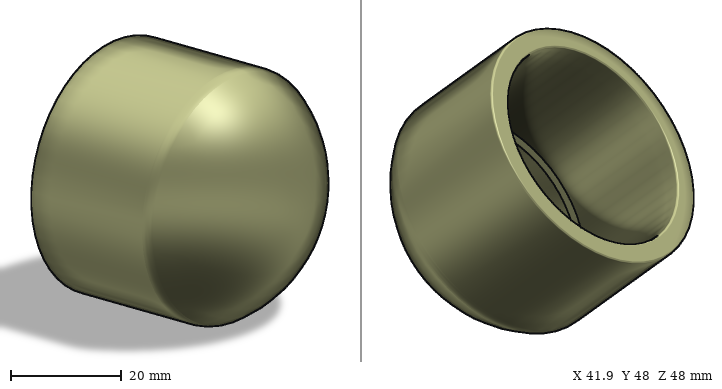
import cadquery as cq
import math

outer_radius = 24.0
bore_radius = 40.0 / 2
cavity_mouth_radius = 18.0
total_length = 41.85
straight_length = 26.3
bore_depth = 26.0
blend_radius = 4.0
rim_radius = 0.4

blend_center_radius = outer_radius - blend_radius
tip_height = total_length - straight_length
dome_radius = (tip_height**2 + blend_center_radius**2 - blend_radius**2) / (
    2 * (tip_height - blend_radius)
)
dome_center = total_length - dome_radius

cavity_radius = math.hypot(bore_depth - dome_center, cavity_mouth_radius)


def point_on_arc(center_x, center_y, radius, angle):
    """Point on a circle, with the angle measured from +X."""
    return (center_x + radius * math.cos(angle), center_y + radius * math.sin(angle))


blend_end_angle = math.atan2(blend_center_radius, straight_length - dome_center)
blend_middle_angle = (math.pi / 2 + blend_end_angle) / 2
blend_middle = point_on_arc(straight_length, blend_center_radius, blend_radius, blend_middle_angle)
blend_end = point_on_arc(dome_center, 0, dome_radius, blend_end_angle)
dome_middle = point_on_arc(dome_center, 0, dome_radius, blend_end_angle / 2)

mouth_angle = math.atan2(cavity_mouth_radius, bore_depth - dome_center)
cavity_middle = point_on_arc(dome_center, 0, cavity_radius, mouth_angle / 2)
cavity_tip = (dome_center + cavity_radius, 0)

half_section = (
    cq.Workplane("XY")
    .moveTo(0, outer_radius - rim_radius)
    .radiusArc((rim_radius, outer_radius), rim_radius)
    .lineTo(straight_length, outer_radius)
    .threePointArc(blend_middle, blend_end)
    .threePointArc(dome_middle, (total_length, 0))
    .lineTo(*cavity_tip)
    .threePointArc(cavity_middle, (bore_depth, cavity_mouth_radius))
    .lineTo(bore_depth, bore_radius)
    .lineTo(rim_radius, bore_radius)
    .radiusArc((0, bore_radius + rim_radius), rim_radius)
    .close()
)

result = half_section.revolve(360, (0, 0, 0), (1, 0, 0))